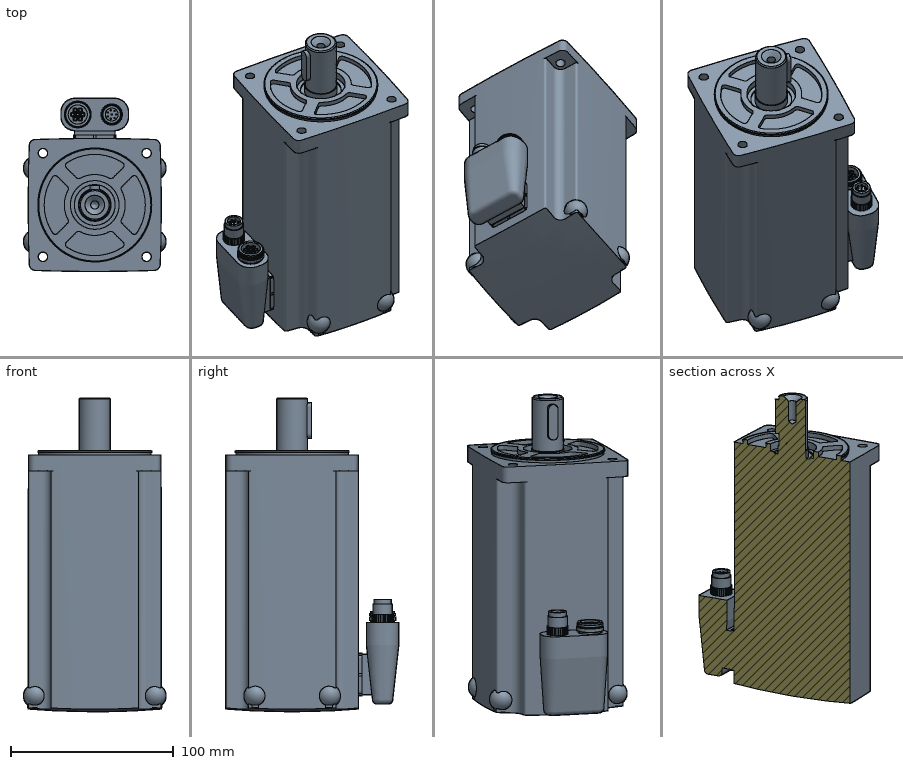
import cadquery as cq
import math

total_height = 192.8
flange_bottom = 147.9
flange_top = 157.7
pilot_top = 160.5

side_reach = 40.9
side_bulge = 0.8
flange_corner_radius = 3.9
groove_wall = 26.8
groove_root_radius = 5.0
groove_lip_radius = 1.3
dome_rise = 1.7
mount_hole_offset = 31.8
mount_hole_diameter = 5.5

ball_span = 87.7
ball_radius = 7.1
ball_x = ball_span / 2 - ball_radius
ball_y = 22.5
ball_z = 9.8
ball_stub_diameter = 8.9
ball_stub_bottom = 2.7

pilot_diameter = 70.0
pilot_relief_diameter = 69.2
pilot_relief_height = 1.5
pilot_chamfer = 0.5
pocket_outer_radius = 31.0
pocket_inner_radius = 18.7
pocket_web = 7.7
pocket_corner_radius = 2.0
recess_diameter = 29.9
recess_depth = 4.6
seal_diameter = 25.0
seal_depth = 1.0
recess_floor = pilot_top - recess_depth
seal_floor = recess_floor - seal_depth

shaft_diameter = 19.0
shaft_chamfer = 0.8
collar_diameter = 20.0
collar_top = 160.2
key_width = 6.0
key_length = 22.2
key_reach = 12.0
key_top_gap = 2.9
bore_mouth_radius = 6.0
bore_step_radius = 4.8
bore_radius = 2.5
bore_step_depth = 0.8
bore_cone_depth = 2.9
bore_depth = 15.5
bore_tip_angle = 118.0

connector_width = 41.6
connector_depth = 20.0
connector_top = 55.0
connector_taper_start = 41.0
connector_bottom = 4.8
connector_bottom_width = 37.0
connector_bottom_depth = 12.0
connector_end_flat = 2.7
connector_bottom_fillet = 2.7
connector_back = 65.5
connector_y = connector_back - connector_depth / 2
plug_x = 10.5

mount_z = 23.0
neck_size = 25.0
base_size = 26.2
base_corner_radius = 3.3
base_outer_y = 43.0
base_split_width = 1.5
base_split_depth = 0.2

power_plug_rings = [(14.8, 56.1), (16.4, 58.5), (14.8, 59.2), (16.0, 60.5), (14.8, 61.5)]
power_socket_diameter = 11.8
power_socket_depth = 5.8
power_contact_diameter = 2.9
power_contact_hole = 1.65
power_contact_circle = 6.2
power_contact_count = 6

signal_plug_rings = [(13.1, 59.8), (12.0, 66.1), (10.8, 69.0)]
knurl_count = 24
knurl_diameter = 0.8
signal_socket_diameter = 8.0
signal_socket_depth = 2.9
signal_pin_diameter = 0.8
signal_pin_circle = 5.4
signal_pin_count = 7

pin_top_gap = 1.0


def cylinder(diameter, bottom, top, x=0.0, y=0.0):
    disc = cq.Workplane("XY", origin=(x, y, bottom)).circle(diameter / 2)
    return disc.extrude(top - bottom)


def bulged_square(bottom, top):
    """Prism whose four sides are shallow outward arcs."""
    corner = side_reach - side_bulge
    outline = (
        cq.Workplane("XY", origin=(0, 0, bottom))
        .moveTo(-corner, -corner)
        .threePointArc((0, -side_reach), (corner, -corner))
        .threePointArc((side_reach, 0), (corner, corner))
        .threePointArc((0, side_reach), (-corner, corner))
        .threePointArc((-side_reach, 0), (-corner, -corner))
        .close()
    )
    return outline.extrude(top - bottom)


def is_groove_root(edge):
    middle = edge.Center()
    return abs(abs(middle.x) - abs(middle.y)) < groove_lip_radius


def is_groove_lip(edge):
    middle = edge.Center()
    return max(abs(middle.x), abs(middle.y)) > side_reach - 2 * side_bulge


def make_housing():
    """Housing with four rounded corner grooves and a domed rear end."""
    housing = bulged_square(0, flange_bottom)
    for x_sign in (-1, 1):
        for y_sign in (-1, 1):
            corner_block = (
                cq.Workplane("XY")
                .center(x_sign * (groove_wall + side_reach / 2), y_sign * (groove_wall + side_reach / 2))
                .rect(side_reach, side_reach)
                .extrude(flange_bottom)
            )
            housing = housing.cut(corner_block)
    housing = housing.edges("|Z").filter(is_groove_root).fillet(groove_root_radius)
    housing = housing.edges("|Z").filter(is_groove_lip).fillet(groove_lip_radius)

    dome_radius = (side_reach**2 + dome_rise**2) / (2 * dome_rise)
    dome = cq.Workplane("XY").sphere(dome_radius).translate((0, 0, dome_radius))
    return housing.intersect(dome)


def make_flange():
    flange = bulged_square(flange_bottom, flange_top).edges("|Z").fillet(flange_corner_radius)
    holes = (
        flange.faces(">Z")
        .workplane(origin=(0, 0, flange_top))
        .rect(2 * mount_hole_offset, 2 * mount_hole_offset, forConstruction=True)
        .vertices()
    )
    return holes.hole(mount_hole_diameter)


def make_balls():
    balls = cq.Workplane("XY")
    for x in (-ball_x, ball_x):
        for y in (-ball_y, ball_y):
            balls = balls.union(cq.Workplane("XY").sphere(ball_radius).translate((x, y, ball_z)))
            balls = balls.union(cylinder(ball_stub_diameter, ball_stub_bottom, ball_z, x, y))
    return balls


def make_pilot():
    relief_top = flange_top + pilot_relief_height
    rim = cylinder(pilot_diameter, relief_top, pilot_top).faces(">Z").chamfer(pilot_chamfer)
    return cylinder(pilot_relief_diameter, flange_top, relief_top).union(rim)


def make_pockets():
    """Four ring-shaped pockets parted by diagonal webs."""
    ring = cylinder(2 * pocket_outer_radius, flange_top, pilot_top)
    ring = ring.cut(cylinder(2 * pocket_inner_radius, flange_top, pilot_top))
    for angle in (45, 135):
        web = (
            cq.Workplane("XY", origin=(0, 0, flange_top))
            .rect(pilot_diameter, pocket_web)
            .extrude(pilot_top - flange_top)
            .rotate((0, 0, 0), (0, 0, 1), angle)
        )
        ring = ring.cut(web)
    return ring.edges("|Z").fillet(pocket_corner_radius)


def make_centre_recess():
    recess = cylinder(recess_diameter, recess_floor, pilot_top)
    return recess.union(cylinder(seal_diameter, seal_floor, pilot_top))


def make_shaft():
    shaft = cylinder(shaft_diameter, flange_bottom, total_height).faces(">Z").chamfer(shaft_chamfer)
    collar = cylinder(collar_diameter, flange_bottom, collar_top)
    key_middle = total_height - key_top_gap - key_length / 2
    key = (
        cq.Workplane("XZ", origin=(0, key_reach, key_middle))
        .slot2D(key_length, key_width, 90)
        .extrude(key_reach / 2)
    )
    tip_depth = bore_radius / math.tan(math.radians(bore_tip_angle / 2))
    bore = (
        cq.Workplane("XZ", origin=(0, 0, total_height))
        .moveTo(0, 0)
        .lineTo(bore_mouth_radius, 0)
        .lineTo(bore_step_radius, -bore_step_depth)
        .lineTo(bore_radius, -bore_cone_depth)
        .lineTo(bore_radius, -bore_depth)
        .lineTo(0, -bore_depth - tip_depth)
        .close()
        .revolve(360, (0, 0, 0), (0, 1, 0))
    )
    return shaft.union(collar).union(key).cut(bore)


def rounded_bar(z, width, depth):
    """Outline of the connector housing at one height."""
    corner_radius = (depth - connector_end_flat) / 2
    return cq.Sketch().rect(width, depth).vertices().fillet(corner_radius).moved(
        cq.Location(cq.Vector(0, connector_y, z))
    )


def make_connector_housing():
    top_outline = rounded_bar(connector_taper_start, connector_width, connector_depth)
    bottom_outline = rounded_bar(connector_bottom, connector_bottom_width, connector_bottom_depth)
    upper = cq.Workplane("XY").placeSketch(top_outline).extrude(connector_top - connector_taper_start)
    lower = cq.Workplane("XY").placeSketch(bottom_outline, top_outline).loft(ruled=True)
    lower = lower.faces("<Z").edges().fillet(connector_bottom_fillet)
    return upper.union(lower)


def make_connector_mount():
    """Square neck on a rounded square base with a shallow split in each side."""
    inner_y = side_reach - 2 * side_bulge
    neck = (
        cq.Workplane("XZ", origin=(0, connector_y, mount_z))
        .rect(neck_size, neck_size)
        .extrude(connector_y - inner_y)
    )
    base = (
        cq.Workplane("XZ", origin=(0, base_outer_y, mount_z))
        .rect(base_size, base_size)
        .extrude(base_outer_y - inner_y)
        .edges("|Y")
        .fillet(base_corner_radius)
    )
    splits = (
        cq.Workplane("XZ", origin=(0, base_outer_y, mount_z))
        .pushPoints([(-base_size / 2, 0), (base_size / 2, 0)])
        .rect(2 * base_split_depth, base_split_width)
        .pushPoints([(0, -base_size / 2), (0, base_size / 2)])
        .rect(base_split_width, 2 * base_split_depth)
        .extrude(base_outer_y - inner_y)
    )
    return neck.union(base.cut(splits))


def make_pins(x, bottom, top, diameter, circle_diameter, count):
    """A centre pin with further pins evenly spread around it."""
    pins = cylinder(diameter, bottom, top, x, connector_y)
    ring = (
        cq.Workplane("XY", origin=(x, connector_y, bottom))
        .polarArray(circle_diameter / 2, 0, 360, count)
        .circle(diameter / 2)
        .extrude(top - bottom)
    )
    return pins.union(ring)


def stack_rings(x, rings):
    """Coaxial rings stacked upwards from the top of the connector housing."""
    stack = cq.Workplane("XY")
    bottom = connector_top
    for diameter, top in rings:
        stack = stack.union(cylinder(diameter, bottom, top, x, connector_y))
        bottom = top
    return stack


def make_power_plug():
    plug_top = power_plug_rings[-1][1]
    floor = plug_top - power_socket_depth
    socket = cylinder(power_socket_diameter, floor, plug_top, -plug_x, connector_y)
    contact_top = plug_top - pin_top_gap
    sleeves = make_pins(
        -plug_x, floor, contact_top, power_contact_diameter, power_contact_circle, power_contact_count
    )
    holes = make_pins(
        -plug_x, floor, contact_top, power_contact_hole, power_contact_circle, power_contact_count
    )
    return stack_rings(-plug_x, power_plug_rings).cut(socket).union(sleeves.cut(holes))


def make_signal_plug():
    nut_diameter, nut_top = signal_plug_rings[0]
    plug_top = signal_plug_rings[-1][1]
    floor = plug_top - signal_socket_depth
    knurls = (
        cq.Workplane("XY", origin=(plug_x, connector_y, connector_top))
        .polarArray(nut_diameter / 2, 0, 360, knurl_count)
        .circle(knurl_diameter / 2)
        .extrude(nut_top - connector_top)
    )
    socket = cylinder(signal_socket_diameter, floor, plug_top, plug_x, connector_y)
    pins = make_pins(
        plug_x, floor, plug_top - pin_top_gap, signal_pin_diameter, signal_pin_circle, signal_pin_count
    )
    return stack_rings(plug_x, signal_plug_rings).cut(knurls).cut(socket).union(pins)


motor = make_housing().union(make_flange()).union(make_balls())
motor = motor.union(make_pilot()).cut(make_pockets()).cut(make_centre_recess())
motor = motor.union(make_shaft())

connector = make_connector_housing().union(make_connector_mount())
connector = connector.union(make_power_plug()).union(make_signal_plug())

result = motor.union(connector)